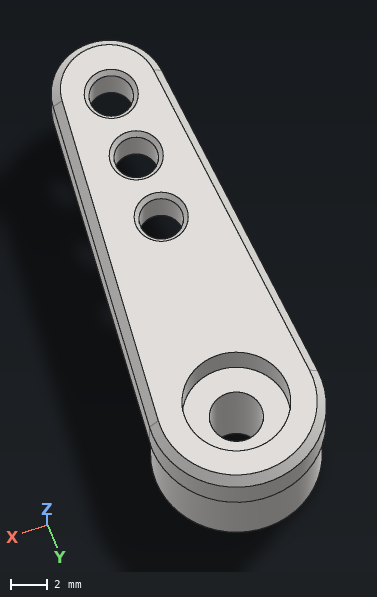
import cadquery as cq
import math

total_length = 28.47
total_height = 7.5
hub_end_radius = 4.98
tip_radius = 3.22
tip_distance = total_length - hub_end_radius - tip_radius

arm_thickness = 2.5
edge_chamfer = 0.5

hub_diameter = 9.5
hub_height = total_height - arm_thickness

screw_hole_diameter = 3.0
screw_recess_diameter = 6.0
screw_recess_depth = 2.0

link_hole_diameter = 2.45
link_countersink_diameter = 3.0
link_countersink_depth = (link_countersink_diameter - link_hole_diameter) / 2
link_hole_count = 3
first_link_distance = 12.0
link_spacing = 4.0


def make_arm():
    """Plate bounded by two end arcs and their common tangents, with a chamfered top rim."""
    taper_angle = math.asin((hub_end_radius - tip_radius) / tip_distance)
    side_x = math.cos(taper_angle)
    side_y = -math.sin(taper_angle)
    wide_x = hub_end_radius * side_x
    wide_y = hub_end_radius * side_y
    narrow_x = tip_radius * side_x
    narrow_y = tip_radius * side_y - tip_distance
    return (
        cq.Workplane("XY")
        .moveTo(wide_x, wide_y)
        .threePointArc((0, hub_end_radius), (-wide_x, wide_y))
        .lineTo(-narrow_x, narrow_y)
        .threePointArc((0, -tip_distance - tip_radius), (narrow_x, narrow_y))
        .close()
        .extrude(arm_thickness)
        .faces(">Z")
        .chamfer(edge_chamfer)
    )


def make_hub():
    """Cylinder below the arm with a chamfered lower rim."""
    return (
        cq.Workplane("XY")
        .circle(hub_diameter / 2)
        .extrude(-hub_height)
        .faces("<Z")
        .chamfer(edge_chamfer)
    )


def cut_screw_hole(body):
    """Through hole on the hub axis with a flat recess for the screw head."""
    return (
        body.faces(">Z")
        .workplane(origin=(0, 0, arm_thickness))
        .cboreHole(screw_hole_diameter, screw_recess_diameter, screw_recess_depth)
    )


def cut_link_holes(body):
    """Row of countersunk through holes along the arm."""
    centers = [(0, -first_link_distance - i * link_spacing) for i in range(link_hole_count)]
    top = cq.Workplane("XY", origin=(0, 0, arm_thickness)).pushPoints(centers)
    holes = top.circle(link_hole_diameter / 2).extrude(-arm_thickness)
    countersink = cq.Solid.makeCone(
        link_countersink_diameter / 2,
        link_hole_diameter / 2,
        link_countersink_depth,
        dir=cq.Vector(0, 0, -1),
    )
    countersinks = top.eachpoint(lambda location: countersink.moved(location))
    return body.cut(holes).cut(countersinks)


result = make_arm().union(make_hub())
result = cut_screw_hole(result)
result = cut_link_holes(result)